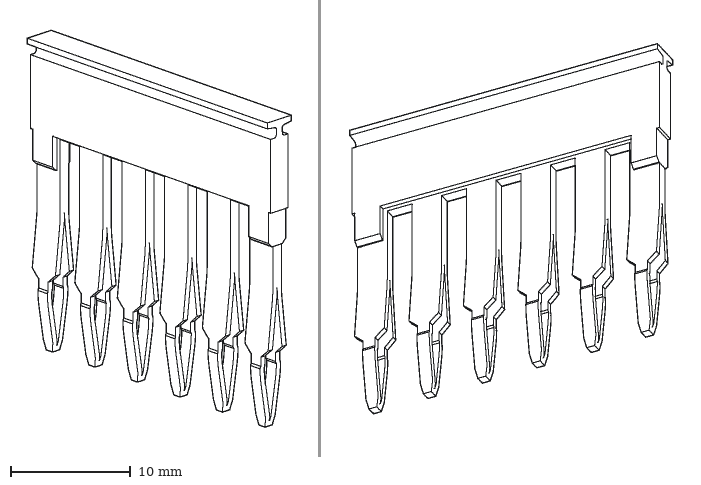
import cadquery as cq


length = 28.9
top_z = 27.6
cap_width = 2.8
cap_rim_height = 0.52
cap_underside_drop = 0.15
neck_width = 0.7
neck_top_fillet = 0.2
neck_bottom_fillet = 0.3
body_width = 2.02
body_top_z = 26.05
body_bottom_z = 19.48
end_leg_bottom_z = 16.33
end_leg_width = 2.4
end_leg_chamfer = 0.4
end_wall = 0.3

leg_count = 6
leg_pitch = 5.12
leg_width = 2.8
comb_thickness = 1.0
backbone_reveal = 0.32
backbone_top_z = 24.28

shoulder_top_z = 7.2
shoulder_bottom_z = 6.45
prong_width = 1.15
tip_taper_height = 0.92
tip_width = 0.75

bend_top_z = 12.5
bend_bottom_z = 11.6
knee_top_z = 7.0
knee_bottom_z = shoulder_bottom_z
flat_bottom_z = 5.64
bulge_top_z = 5.43
bulge_bottom_z = 4.07
flat_span = 2.23
bulge_span = 2.4
tip_span = 0.85

leaf_thickness = comb_thickness / 2
flat_half_width = flat_span / 2
bulge_half_width = bulge_span / 2
tip_half_width = tip_span / 2
backbone_bottom_z = body_bottom_z - backbone_reveal
leg_centers = [(i - (leg_count - 1) / 2) * leg_pitch for i in range(leg_count)]
comb_end_x = leg_centers[-1] + leg_width / 2
embedded_end_x = comb_end_x - end_wall

bend_middle_z = (bend_top_z + bend_bottom_z) / 2
knee_middle_z = (knee_top_z + knee_bottom_z) / 2
bulge_middle_z = (bulge_top_z + bulge_bottom_z) / 2
spread_slope = (flat_half_width - leaf_thickness) / (bend_middle_z - knee_middle_z)
closing_slope = (bulge_half_width - tip_half_width) / bulge_middle_z
bend_exit_half_width = leaf_thickness + spread_slope * (bend_middle_z - bend_bottom_z)
knee_entry_half_width = flat_half_width - spread_slope * (knee_top_z - knee_middle_z)
bulge_exit_half_width = tip_half_width + closing_slope * bulge_bottom_z
opening_bottom_z = (leaf_thickness - tip_half_width) / closing_slope


def arc_middle(start, end, start_slope, end_slope):
    """Middle point of a shallow arc, given the widening per unit of descent at both ends."""
    sagitta = (start[1] - end[1]) * (start_slope - end_slope) / 8
    return ((start[0] + end[0]) / 2 + sagitta, (start[1] + end[1]) / 2)


def make_cap_and_body():
    rim_z = top_z - cap_rim_height
    neck_top_z = rim_z - cap_underside_drop
    half = [
        (cap_width / 2, top_z),
        (cap_width / 2, rim_z),
        (neck_width / 2, neck_top_z),
        (neck_width / 2, body_top_z),
        (body_width / 2, body_top_z),
        (body_width / 2, body_bottom_z),
    ]
    mirrored = [(-y, z) for y, z in reversed(half)]
    bar = (
        cq.Workplane("YZ").polyline(half + mirrored).close()
        .extrude(length / 2, both=True)
    )

    def neck_corner(z):
        """Select the pair of long edges where the neck meets the face at height z."""
        margin = 0.03
        return cq.selectors.BoxSelector(
            (-length, -neck_width / 2 - margin, z - margin),
            (length, neck_width / 2 + margin, z + margin),
        )

    bar = bar.edges("|X").edges(neck_corner(neck_top_z)).fillet(neck_top_fillet)
    return bar.edges("|X").edges(neck_corner(body_top_z)).fillet(neck_bottom_fillet)


def make_housing_end_leg(side):
    height = body_bottom_z - end_leg_bottom_z
    return (
        cq.Workplane("XY")
        .box(end_leg_width, body_width, height, centered=(True, True, False))
        .faces("<Z").edges("|X").chamfer(end_leg_chamfer)
        .translate((side * (comb_end_x - end_leg_width / 2), 0, end_leg_bottom_z))
    )


def make_housing(comb):
    housing = make_cap_and_body()
    for side in (-1, 1):
        housing = housing.union(make_housing_end_leg(side))
    return housing.cut(comb)


def make_leg_front():
    half = [
        (leg_width / 2, backbone_bottom_z),
        (leg_width / 2, shoulder_top_z),
        (prong_width / 2, shoulder_bottom_z),
        (prong_width / 2, tip_taper_height),
        (tip_width / 2, 0),
    ]
    mirrored = [(-x, z) for x, z in reversed(half)]
    return (
        cq.Workplane("XZ").polyline(half + mirrored).close()
        .extrude(cap_width, both=True)
    )


def make_leaf(side):
    """One leaf, from the center plane outward; the two leaves mirror each other in Y."""
    bend_start = (leaf_thickness, bend_top_z)
    bend_end = (bend_exit_half_width, bend_bottom_z)
    bend_middle = arc_middle(bend_start, bend_end, 0, spread_slope)
    knee_start = (knee_entry_half_width, knee_top_z)
    knee_end = (flat_half_width, knee_bottom_z)
    knee_middle = arc_middle(knee_start, knee_end, spread_slope, 0)
    flat_bottom = (flat_half_width, flat_bottom_z)
    bulge_start = (bulge_half_width, bulge_top_z)
    bulge_end = (bulge_exit_half_width, bulge_bottom_z)
    bulge_middle = arc_middle(bulge_start, bulge_end, 0, -closing_slope)

    def outer(point):
        return (side * point[0], point[1])

    def inner(point):
        return (side * (point[0] - leaf_thickness), point[1])

    return (
        cq.Workplane("YZ")
        .moveTo(0, backbone_bottom_z)
        .lineTo(*outer((leaf_thickness, backbone_bottom_z)))
        .lineTo(*outer(bend_start))
        .threePointArc(outer(bend_middle), outer(bend_end))
        .lineTo(*outer(knee_start))
        .threePointArc(outer(knee_middle), outer(knee_end))
        .lineTo(*outer(flat_bottom))
        .lineTo(*outer(bulge_start))
        .threePointArc(outer(bulge_middle), outer(bulge_end))
        .lineTo(*outer((tip_half_width, 0)))
        .lineTo(0, 0)
        .lineTo(0, opening_bottom_z)
        .lineTo(*inner(bulge_end))
        .threePointArc(inner(bulge_middle), inner(bulge_start))
        .lineTo(*inner(flat_bottom))
        .lineTo(*inner(knee_end))
        .threePointArc(inner(knee_middle), inner(knee_start))
        .lineTo(*inner(bend_end))
        .threePointArc(inner(bend_middle), inner(bend_start))
        .close()
        .extrude(leg_width, both=True)
    )


def make_spring_leg():
    return make_leaf(1).union(make_leaf(-1)).intersect(make_leg_front())


def make_comb():
    comb = (
        cq.Workplane("XY", origin=(0, 0, backbone_bottom_z))
        .box(
            2 * embedded_end_x, comb_thickness, backbone_top_z - backbone_bottom_z,
            centered=(True, True, False),
        )
    )
    leg = make_spring_leg()
    for x in leg_centers:
        comb = comb.union(leg.translate((x, 0, 0)))

    for side in (-1, 1):
        notch = (
            cq.Workplane("XY", origin=(side * (comb_end_x - end_wall / 2), 0, end_leg_bottom_z))
            .box(
                end_wall, comb_thickness, backbone_bottom_z - end_leg_bottom_z,
                centered=(True, True, False),
            )
        )
        comb = comb.cut(notch)
    return comb


comb = make_comb()
housing = make_housing(comb)

result = cq.Compound.makeCompound([housing.solids().val(), comb.solids().val()])